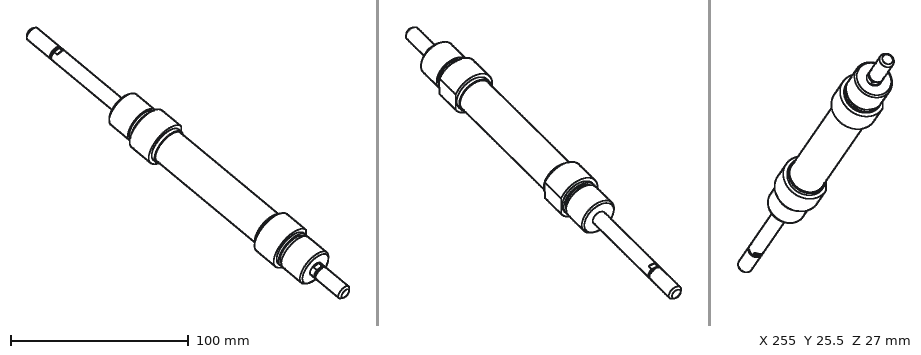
import cadquery as cq


rod_length = 255.0
rod_right_end = 102.5
rod_left_end = rod_right_end - rod_length
rod_radius = 4.3
rod_end_chamfer = 1.3
thread_length = 20.0
neck_width = 1.0
neck_radius = 3.5
flats_length = 2.8
flats_across = 7.6

tube_half_length = 40.5
tube_radius = 10.5

head_radius = 11.2
collar_start = 42.8
collar_end = 58.5
groove_start = 60.0
groove_end = 62.2
head_end = 78.3
head_chamfer = 1.0
groove_radius = 10.0
collar_radius = 13.5
collar_flat_offset = 12.0


def cylinder(start, end, radius):
    """Solid cylinder about the X axis, from X = start to X = end."""
    return cq.Workplane("YZ", origin=(start, 0, 0)).circle(radius).extrude(end - start)


def make_tube():
    """Plain tube that is bored to fit the rod."""
    tube = cylinder(-tube_half_length, tube_half_length, tube_radius)
    return tube.cut(cylinder(-tube_half_length, tube_half_length, rod_radius))


def collar_flat_cutter():
    """Block that takes the +Y side off the collar."""
    collar_length = collar_end - collar_start
    block = cq.Workplane("XY").box(
        collar_length, collar_radius, 2 * collar_radius, centered=(False, False, True)
    )
    return block.translate((collar_start, collar_flat_offset, 0))


def make_head(side):
    """Head with a chamfered nose, a groove and a collar with one flat; side is +1 or -1 along X."""
    nose_and_base = cylinder(tube_half_length, head_end, head_radius).faces(">X").chamfer(head_chamfer)
    groove = cylinder(groove_start, groove_end, head_radius).cut(
        cylinder(groove_start, groove_end, groove_radius)
    )
    collar = cylinder(collar_start, collar_end, collar_radius).cut(collar_flat_cutter())
    bore = cylinder(tube_half_length, head_end, rod_radius)
    head = nose_and_base.cut(groove).union(collar).cut(bore)
    return head if side > 0 else head.mirror("YZ")


def cut_rod_end(rod, end, inward):
    """Cut the neck and the wrench flats near one rod end; inward is +1 or -1 along X."""
    neck_start = end + inward * thread_length
    flats_start = neck_start + inward * neck_width
    flats_middle = flats_start + inward * flats_length / 2

    neck_ring = cylinder(neck_start, flats_start, rod_radius).cut(
        cylinder(neck_start, flats_start, neck_radius)
    )
    rod = rod.cut(neck_ring)

    flat_depth = rod_radius - flats_across / 2
    flat_cutter = cq.Workplane("XY").box(flats_length, 2 * rod_radius, flat_depth)
    for side in (-1, 1):
        flat_height = side * (flats_across + flat_depth) / 2
        rod = rod.cut(flat_cutter.translate((flats_middle, 0, flat_height)))
    return rod


def make_rod():
    """Rod with chamfered ends, and a neck and wrench flats near each end."""
    rod = cylinder(rod_left_end, rod_right_end, rod_radius).faces("<X or >X").chamfer(rod_end_chamfer)
    rod = cut_rod_end(rod, rod_left_end, 1)
    return cut_rod_end(rod, rod_right_end, -1)


tube = make_tube()
heads = [make_head(side) for side in (-1, 1)]
rod = make_rod()

result = cq.Compound.makeCompound([tube.val(), *[head.val() for head in heads], rod.val()])